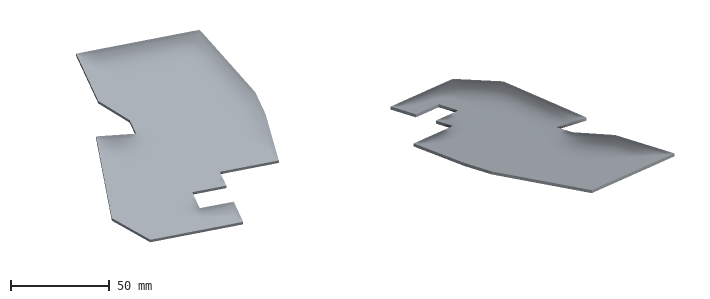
import cadquery as cq

length = 151.0
width = 98.0
thickness = 1.7

left_edge_bottom = 20.0
left_edge_top = 85.2
top_edge_start = 55.3
top_edge_end = 73.2
body_right = 110.0
body_right_top = 93.9

arm_top = 62.8
slot_left = 121.3
slot_width = 13.1
slot_depth = 18.0
slot_right = slot_left + slot_width
slot_floor = arm_top - slot_depth
right_edge_bottom = 13.7
lowest_corner_x = 129.1

arm_corner = (65.2, 10.9)
notch_top = 30.8
notch_right = 69.0
notch_left = 58.0
notch_ramp_start = 39.0

outline = [
    (0, left_edge_bottom),
    (0, left_edge_top),
    (top_edge_start, width),
    (top_edge_end, width),
    (body_right, body_right_top),
    (body_right, arm_top),
    (slot_left, arm_top),
    (slot_left, slot_floor),
    (slot_right, slot_floor),
    (slot_right, arm_top),
    (length, arm_top),
    (length, right_edge_bottom),
    (lowest_corner_x, 0),
    arm_corner,
    (notch_right, notch_top),
    (notch_left, notch_top),
    (notch_ramp_start, left_edge_bottom),
]

result = cq.Workplane("XY").polyline(outline).close().extrude(thickness)